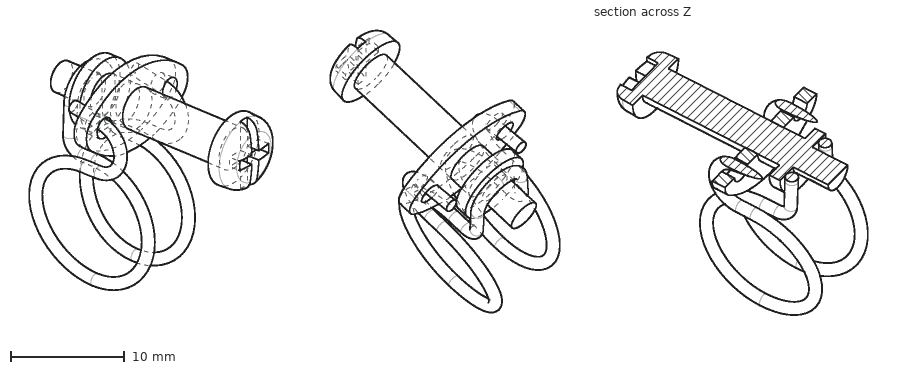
import cadquery as cq
import math


tip_radius = 1.5
shaft_radius = 2.0
collar_radius = 3.5
collar_start = 3.78
collar_thickness = 1.18
head_start = 19.65
head_radius = 3.5
head_side_length = 1.18
head_draft = 0.07
shoulder_length = 1.15
shoulder_end_radius = 2.4
crown_height = 0.2
slot_width = 0.95
cross_slot_length = 4.0

plate_start = 7.25
plate_thickness = 1.41
plate_length = 14.0
plate_height = 8.0
plate_end_radius = 2.05
plate_hole_radius = 1.0
plate_hole_offset = 4.53

wire_radius = 0.6
bridge_radius = 2.6
bridge_center_z = -0.5
leg_tilt = math.radians(2.3)
leg_end_z = -3.58
bend_radius = 1.41
ring_radius = 6.1
ring_center_x = 6.13
ring_exit_y = 4.21
hook_start_x = 7.7
hook_radius = 2.55
tail_rise = math.radians(10.4)
tail_length = 3.4


def make_pin():
    """Stepped shaft with a collar and a slotted round head."""
    collar_end = collar_start + collar_thickness
    slot_floor = head_start + head_side_length
    side_end_radius = head_radius - head_draft
    shoulder_end = slot_floor + shoulder_length
    crown_end = shoulder_end + crown_height
    pin = (
        cq.Workplane("XY")
        .lineTo(0, tip_radius)
        .lineTo(collar_start, tip_radius)
        .lineTo(collar_start, collar_radius)
        .lineTo(collar_end, collar_radius)
        .lineTo(collar_end, shaft_radius)
        .lineTo(head_start, shaft_radius)
        .lineTo(head_start, head_radius)
        .lineTo(slot_floor, side_end_radius)
        .tangentArcPoint((shoulder_end, shoulder_end_radius), relative=False)
        .spline(
            [(crown_end, 0)],
            tangents=[(2 * crown_height, -shoulder_end_radius), (0, -1)],
            includeCurrent=True,
        )
        .close()
        .revolve(360, (0, 0, 0), (1, 0, 0))
    )
    slot_depth = crown_end - slot_floor
    slot_start = cq.Workplane("YZ", origin=(slot_floor, 0, 0))
    through_slot = slot_start.rect(slot_width, 2 * head_radius).extrude(slot_depth)
    cross_slot = slot_start.rect(cross_slot_length, slot_width).extrude(slot_depth)
    return pin.cut(through_slot).cut(cross_slot)


def make_plate():
    """Lens-shaped plate with rounded ends, a pin hole and two wire holes."""
    half_height = plate_height / 2
    end_center = plate_length / 2 - plate_end_radius
    height_gap = half_height - plate_end_radius
    side_radius = plate_end_radius + (end_center**2 + height_gap**2) / (2 * height_gap)
    side_center = side_radius - half_height
    reach = plate_end_radius / math.hypot(end_center, side_center)
    join_y = end_center * (1 + reach)
    join_z = side_center * reach
    plate_face = cq.Workplane("YZ", origin=(plate_start, 0, 0))
    plate = (
        plate_face
        .moveTo(-join_y, join_z)
        .threePointArc((0, half_height), (join_y, join_z))
        .threePointArc((plate_length / 2, 0), (join_y, -join_z))
        .threePointArc((0, -half_height), (-join_y, -join_z))
        .threePointArc((-plate_length / 2, 0), (-join_y, join_z))
        .close()
        .extrude(plate_thickness)
    )
    pin_hole = plate_face.circle(shaft_radius).extrude(plate_thickness)
    wire_hole_places = plate_face.pushPoints([(-plate_hole_offset, 0), (plate_hole_offset, 0)])
    wire_holes = wire_hole_places.circle(plate_hole_radius).extrude(plate_thickness)
    return plate.cut(pin_hole).cut(wire_holes)


def arc(start, middle, end):
    return cq.Edge.makeThreePointArc(cq.Vector(*start), cq.Vector(*middle), cq.Vector(*end))


def line(start, end):
    return cq.Edge.makeLine(cq.Vector(*start), cq.Vector(*end))


def make_spring():
    """One bent wire: a bridge over the pin, and on each side a leg, a ring and a hook."""
    bridge_x = collar_start - wire_radius
    bridge_top = (bridge_x, 0, bridge_center_z + bridge_radius)
    leg_start_y = bridge_radius * math.cos(leg_tilt)
    leg_start_z = bridge_center_z + bridge_radius * math.sin(leg_tilt)
    leg_end_y = leg_start_y + (leg_start_z - leg_end_z) * math.tan(leg_tilt)

    bend_middle_x = bridge_x + bend_radius * (1 - math.cos(math.pi / 4))
    bend_middle_drop = bend_radius * math.sin(math.pi / 4)
    ring_y = leg_end_y + bend_radius * math.sin(leg_tilt)
    ring_top_z = leg_end_z - bend_radius * math.cos(leg_tilt)
    ring_center_z = ring_top_z - ring_radius
    ring_bottom_z = ring_center_z - ring_radius
    lean_radius = math.hypot(ring_radius, (ring_exit_y - ring_y) / 2)

    hook_center_z = ring_top_z + hook_radius
    hook_end_x = hook_start_x + hook_radius * math.sin(tail_rise)
    hook_end_z = hook_center_z + hook_radius * math.cos(tail_rise)
    tail_end_x = hook_end_x - tail_length * math.cos(tail_rise)
    tail_end_z = hook_end_z + tail_length * math.sin(tail_rise)

    bridge_middle_angle = (math.pi / 2 + leg_tilt) / 2
    bridge_middle = (
        bridge_x,
        bridge_radius * math.cos(bridge_middle_angle),
        bridge_center_z + bridge_radius * math.sin(bridge_middle_angle),
    )
    leg_start = (bridge_x, leg_start_y, leg_start_z)
    leg_end = (bridge_x, leg_end_y, leg_end_z)
    bend_middle = (
        bend_middle_x,
        leg_end_y + bend_middle_drop * math.sin(leg_tilt),
        leg_end_z - bend_middle_drop * math.cos(leg_tilt),
    )
    bend_end = (bridge_x + bend_radius, ring_y, ring_top_z)
    ring_start = (ring_center_x, ring_y, ring_top_z)
    ring_front = (ring_center_x + ring_radius, ring_y, ring_center_z)
    ring_bottom = (ring_center_x, ring_y, ring_bottom_z)
    ring_back = (ring_center_x - lean_radius, (ring_y + ring_exit_y) / 2, ring_center_z)
    ring_end = (ring_center_x, ring_exit_y, ring_top_z)
    hook_start = (hook_start_x, ring_exit_y, ring_top_z)
    hook_middle = (hook_start_x + hook_radius, ring_exit_y, hook_center_z)
    hook_end = (hook_end_x, ring_exit_y, hook_end_z)
    tail_end = (tail_end_x, ring_exit_y, tail_end_z)
    path = cq.Wire.assembleEdges([
        arc(bridge_top, bridge_middle, leg_start),
        line(leg_start, leg_end),
        arc(leg_end, bend_middle, bend_end),
        line(bend_end, ring_start),
        arc(ring_start, ring_front, ring_bottom),
        arc(ring_bottom, ring_back, ring_end),
        line(ring_end, hook_start),
        arc(hook_start, hook_middle, hook_end),
        line(hook_end, tail_end),
    ])

    section = cq.Workplane("XZ", origin=bridge_top).circle(wire_radius)
    half = section.sweep(cq.Workplane(path))
    return half.union(half.mirror("XZ"))


pin = make_pin()
plate = make_plate()
spring = make_spring()
result = cq.Compound.makeCompound([pin.solids().val(), plate.solids().val(), spring.solids().val()])